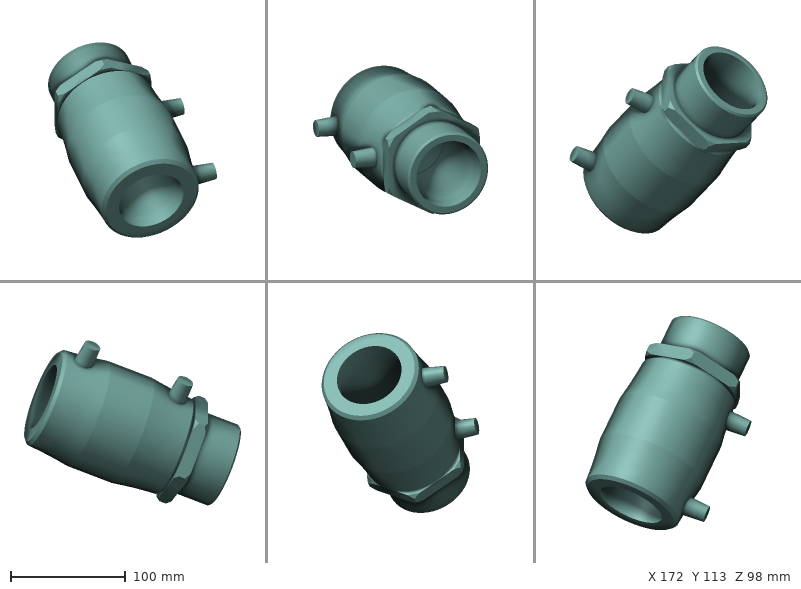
import cadquery as cq

total_length = 172.0
nut_start = 34.0
nut_width = 11.9
sleeve_start = nut_start + nut_width
band_start = 87.9
band_end = 129.9

spigot_diameter = 75.2
spigot_chamfer = 1.7
mouth_diameter = 60.2
bore_diameter = 59.0

nut_corner_diameter = 98.0
nut_corner_chamfer = 3.1

band_radius = 98.0 / 2
sleeve_end_radius = 44.4
sleeve_chamfer = 3.0
taper_sag = 0.5

terminal_tip_y = 113.0 - band_radius
terminal_tip_diameter = 14.6
terminal_base_diameter = 17.7
terminal_base_y = 41.3
first_terminal_x = 65.0
terminal_spacing = 88.2


def x_cylinder(diameter, start, end):
    """Cylinder on the X axis between two X positions."""
    return cq.Workplane("YZ", origin=(start, 0, 0)).circle(diameter / 2).extrude(end - start)


def make_spigot():
    return x_cylinder(spigot_diameter, 0, sleeve_start).faces("<X").chamfer(spigot_chamfer)


def make_nut():
    """Hexagon whose corners are cut off by flat 45-degree facets on both faces."""
    corner_radius = nut_corner_diameter / 2
    nut = (
        cq.Workplane("YZ", origin=(nut_start, 0, 0))
        .polygon(6, nut_corner_diameter)
        .extrude(nut_width)
        .rotate((0, 0, 0), (1, 0, 0), 30)
    )
    facet_profile = (
        cq.Workplane("XZ")
        .center(nut_start + nut_width / 2, 0)
        .rect(nut_width, nut_corner_diameter)
        .extrude(corner_radius, both=True)
        .edges("|Y")
        .chamfer(nut_corner_chamfer)
    )
    for angle in (0, 60, 120):
        nut = nut.intersect(facet_profile.rotate((0, 0, 0), (1, 0, 0), angle))
    return nut


def make_sleeve():
    left_x = sleeve_start + sleeve_chamfer
    right_x = total_length - sleeve_chamfer
    face_radius = sleeve_end_radius - sleeve_chamfer
    middle_radius = (band_radius + sleeve_end_radius) / 2 - taper_sag
    return (
        cq.Workplane("XY")
        .moveTo(sleeve_start, 0)
        .lineTo(sleeve_start, face_radius)
        .lineTo(left_x, sleeve_end_radius)
        .threePointArc(((left_x + band_start) / 2, middle_radius), (band_start, band_radius))
        .lineTo(band_end, band_radius)
        .threePointArc(((band_end + right_x) / 2, middle_radius), (right_x, sleeve_end_radius))
        .lineTo(total_length, face_radius)
        .lineTo(total_length, 0)
        .close()
        .revolve(360, (0, 0, 0), (1, 0, 0))
    )


def make_terminal(x):
    """Post that tapers from inside the sleeve wall to its tip in +Y."""
    return (
        cq.Workplane("XZ", origin=(x, terminal_base_y, 0))
        .circle(terminal_base_diameter / 2)
        .workplane(offset=terminal_base_y - terminal_tip_y)
        .circle(terminal_tip_diameter / 2)
        .loft()
    )


result = make_spigot().union(make_nut()).union(make_sleeve())
for index in range(2):
    result = result.union(make_terminal(first_terminal_x + index * terminal_spacing))

result = result.cut(x_cylinder(bore_diameter, 0, total_length))
result = result.cut(x_cylinder(mouth_diameter, 0, band_start))